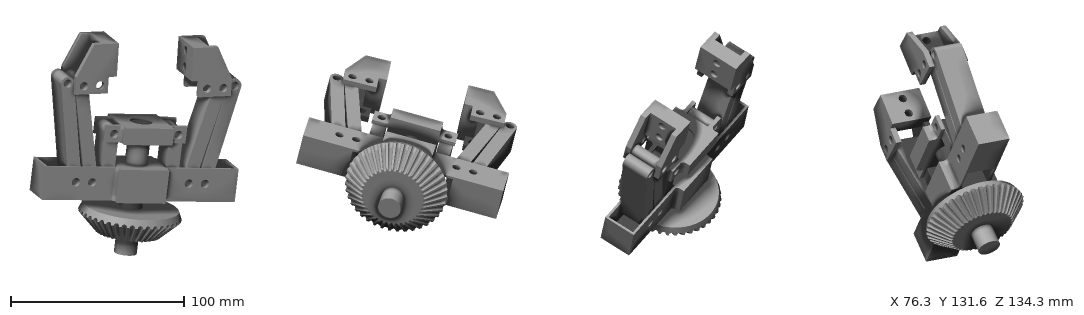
import cadquery as cq
import math


PIN_HOLE_DIAMETER = 5.0
SHAFT_DIAMETER = 13.3
CORNER_FILLET = 2.0

FRAME_LENGTH = 120.0
FRAME_WIDTH = 20.0
FRAME_HEIGHT = 20.0
FRAME_WALL = 1.5
FRAME_INSIDE = FRAME_WIDTH - 2 * FRAME_WALL
HUB_SIDE = 30.0
FLOOR_SLOT_END = 30.0

SLIDER_HEIGHT = 10.0
SLIDER_CENTER_Z = 30.0
SLIDER_TOP_Z = SLIDER_CENTER_Z + SLIDER_HEIGHT / 2
LUG_TIP_Y = 25.0
LUG_SPAN = 20.0
LUG_GAP = 15.0
LUG_PIN_Y = 20.0
SHAFT_RECESS = 1.1

LINK_THICKNESS = 8
LINK_LENGTH = 60.0
BUSH_DIAMETER = 6.7
FRAME_PIN_Z = 0.8
INNER_PIN_Y = 30.0
OUTER_PIN_Y = 40.1
INNER_LINK_LEAN = 12.8
OUTER_LINK_LEAN = 11.4

FINGER_WIDTH = 25.0
FINGER_GAP = 18.0
FINGER_TILT = 3.2
FINGER_TOP = 25.0
FINGER_BOTTOM = -5.0
FINGER_BACK = 5.0
FINGER_FRONT = -20.0
FINGER_TOP_BACK = -4.8
FINGER_SHOULDER = 5.5
NOTCH_FRONT = -15.0
NOTCH_TOP = 5.0
PAD_THICKNESS = 10.0
FREE_PIN_OFFSET = -10.0
PAD_HOLE_HEIGHTS = (10.0, 20.0)

SHAFT_BOTTOM_Z = -44.0
GEAR_TOP_Z = -16.2
GEAR_RIM_Z = -21.2
GEAR_BOTTOM_Z = -32.2
GEAR_TOP_RADIUS = 28.0
GEAR_RIM_RADIUS = 30.2
GEAR_BOTTOM_RADIUS = 19.0
TOOTH_COUNT = 40
GROOVE_RADIUS = 1.6
GROOVE_INNER_END = 0.8
GROOVE_OUTER_END = 1.2

TILT_X = -14.1
TILT_Y = -17.9
TILT_Z = -4.7
POSE_OFFSET = (3.2, -4.4, -23.9)


def box(size_x, y_range, z_range):
    """Box centred on X = 0 between two Y and two Z positions."""
    y_low, y_high = sorted(y_range)
    z_low, z_high = sorted(z_range)
    solid = cq.Workplane("XY").box(size_x, y_high - y_low, z_high - z_low)
    return solid.translate((0, (y_low + y_high) / 2, (z_low + z_high) / 2))


def cross_pin(y, z, diameter, length):
    """Cylinder along X, centred on X = 0."""
    circle = cq.Workplane("YZ").center(y, z).circle(diameter / 2)
    return circle.extrude(length / 2, both=True)


def cross_hole(y, z):
    """Cutter for a pin hole through the full width of the gripper."""
    return cross_pin(y, z, PIN_HOLE_DIAMETER, HUB_SIDE)


def upright_cylinder(diameter, z_low, z_high):
    return cq.Workplane("XY").workplane(offset=z_low).circle(diameter / 2).extrude(z_high - z_low)


def inside_corner(x_side, y_side, wall_x, face_y, z_low, z_high):
    """Concave fillet between an X-facing wall and the Y-facing end of a block."""
    r = CORNER_FILLET
    square = cq.Workplane("XY").workplane(offset=z_low).rect(r, r).extrude(z_high - z_low)
    square = square.translate((wall_x + r / 2, face_y + r / 2, 0))
    round_cut = upright_cylinder(2 * r, z_low, z_high).translate((wall_x + r, face_y + r, 0))
    fillet = square.cut(round_cut)
    if x_side < 0:
        fillet = fillet.mirror("YZ")
    if y_side < 0:
        fillet = fillet.mirror("XZ")
    return fillet


def make_corners(wall_x, z_low, z_high):
    """The four fillets where side walls meet the ends of a hub-sized block."""
    corners = cq.Workplane("XY")
    for x_side in (1, -1):
        for y_side in (1, -1):
            corners = corners.add(inside_corner(x_side, y_side, wall_x, HUB_SIDE / 2, z_low, z_high))
    return corners.combine()


def make_frame():
    half_length = FRAME_LENGTH / 2
    half_height = FRAME_HEIGHT / 2
    frame = cq.Workplane("XY").box(FRAME_WIDTH, FRAME_LENGTH, FRAME_HEIGHT)
    frame = frame.union(cq.Workplane("XY").box(HUB_SIDE, HUB_SIDE, FRAME_HEIGHT))
    frame = frame.union(make_corners(FRAME_WIDTH / 2, -half_height, half_height))
    for side in (1, -1):
        hub_end = side * HUB_SIDE / 2
        pocket_y = (hub_end, side * (half_length - FRAME_WALL))
        pocket = box(FRAME_INSIDE, pocket_y, (FRAME_WALL - half_height, half_height))
        floor_slot = box(FRAME_INSIDE, (hub_end, side * FLOOR_SLOT_END), (-half_height, 0))
        frame = frame.cut(pocket).cut(floor_slot)
    return frame


def make_slider():
    z_range = (SLIDER_TOP_Z - SLIDER_HEIGHT, SLIDER_TOP_Z)
    slider = box(LUG_SPAN, (-LUG_TIP_Y, LUG_TIP_Y), z_range)
    for side in (1, -1):
        slider = slider.cut(box(LUG_GAP, (side * HUB_SIDE / 2, side * LUG_TIP_Y), z_range))
    slider = slider.union(box(HUB_SIDE, (-HUB_SIDE / 2, HUB_SIDE / 2), z_range))
    return slider.union(make_corners(LUG_SPAN / 2, *z_range))


def make_link(start, end, width):
    """Flat bar with round ends between two cross pins given as (y, z)."""
    dy = end[0] - start[0]
    dz = end[1] - start[1]
    outline = cq.Workplane("YZ").slot2D(math.hypot(dy, dz) + LINK_THICKNESS, LINK_THICKNESS)
    bar = outline.extrude(width / 2, both=True)
    bar = bar.rotate((0, 0, 0), (1, 0, 0), math.degrees(math.atan2(dz, dy)))
    return bar.translate((0, (start[0] + end[0]) / 2, (start[1] + end[1]) / 2))


def link_top(side, pin_y, lean):
    """Upper pin of a link that leans away from the shaft."""
    angle = math.radians(lean)
    return (side * (pin_y + LINK_LENGTH * math.sin(angle)), FRAME_PIN_Z + LINK_LENGTH * math.cos(angle))


def make_finger(side, pin):
    """Two side plates joined by a gripping pad, hinged on the given (y, z) pin."""
    finger = (
        cq.Workplane("YZ")
        .polyline(
            [
                (FINGER_BACK, FINGER_BOTTOM),
                (FINGER_BACK, FINGER_SHOULDER),
                (FINGER_TOP_BACK, FINGER_TOP),
                (FINGER_FRONT, FINGER_TOP),
                (FINGER_FRONT, NOTCH_TOP),
                (NOTCH_FRONT, NOTCH_TOP),
                (NOTCH_FRONT, FINGER_BOTTOM),
            ]
        )
        .close()
        .extrude(FINGER_WIDTH / 2, both=True)
    )
    pad_back = FINGER_FRONT + PAD_THICKNESS
    behind_pad = box(FINGER_GAP, (pad_back, FINGER_BACK), (FINGER_BOTTOM, FINGER_TOP))
    below_pad = box(FINGER_GAP, (FINGER_FRONT, FINGER_BACK), (FINGER_BOTTOM, NOTCH_TOP))
    finger = finger.cut(behind_pad).cut(below_pad)
    for height in PAD_HOLE_HEIGHTS:
        pad_hole = cq.Workplane("XZ").center(0, height).circle(PIN_HOLE_DIAMETER / 2)
        finger = finger.cut(pad_hole.extrude(-FINGER_FRONT, both=True))
    finger = finger.cut(cross_hole(FREE_PIN_OFFSET, 0))
    if side < 0:
        finger = finger.mirror("XZ")
    return finger.rotate((0, 0, 0), (1, 0, 0), FINGER_TILT).translate((0, *pin))


def make_gear():
    gear = (
        cq.Workplane("XZ")
        .polyline(
            [
                (0, GEAR_TOP_Z),
                (GEAR_TOP_RADIUS, GEAR_TOP_Z),
                (GEAR_RIM_RADIUS, GEAR_RIM_Z),
                (GEAR_BOTTOM_RADIUS, GEAR_BOTTOM_Z),
                (0, GEAR_BOTTOM_Z),
            ]
        )
        .close()
        .revolve(360, (0, 0), (0, 1))
    )
    slope = (GEAR_RIM_Z - GEAR_BOTTOM_Z) / (GEAR_RIM_RADIUS - GEAR_BOTTOM_RADIUS)
    apex = cq.Vector(0, 0, GEAR_RIM_Z - slope * GEAR_RIM_RADIUS)
    direction = cq.Vector(1, 0, slope)
    inner_reach = GEAR_BOTTOM_RADIUS * GROOVE_INNER_END
    outer_reach = GEAR_RIM_RADIUS * GROOVE_OUTER_END
    inner_end = apex + direction * inner_reach
    length = (outer_reach - inner_reach) * direction.Length
    inner_radius = GROOVE_RADIUS * inner_reach / GEAR_RIM_RADIUS
    outer_radius = GROOVE_RADIUS * GROOVE_OUTER_END
    groove = cq.Solid.makeCone(inner_radius, outer_radius, length, inner_end, direction)
    grooves = cq.Workplane("XY")
    for tooth in range(TOOTH_COUNT):
        angle = tooth * 360 / TOOTH_COUNT
        grooves = grooves.add(groove.rotate(cq.Vector(0, 0, 0), cq.Vector(0, 0, 1), angle))
    return gear.cut(cq.Workplane(cq.Compound.makeCompound(grooves.vals())))


def make_gripper():
    shaft = upright_cylinder(SHAFT_DIAMETER, SHAFT_BOTTOM_Z, SLIDER_TOP_Z)
    gripper = make_gear().union(shaft).union(make_frame()).union(make_slider())
    gripper = gripper.cut(upright_cylinder(SHAFT_DIAMETER, SLIDER_TOP_Z - SHAFT_RECESS, SLIDER_TOP_Z))
    for side in (1, -1):
        inner_pin = (side * INNER_PIN_Y, FRAME_PIN_Z)
        outer_pin = (side * OUTER_PIN_Y, FRAME_PIN_Z)
        inner_top = link_top(side, INNER_PIN_Y, INNER_LINK_LEAN)
        outer_top = link_top(side, OUTER_PIN_Y, OUTER_LINK_LEAN)
        lug_pin = (side * LUG_PIN_Y, SLIDER_CENTER_Z)
        push_link_end = (side * LUG_PIN_Y, FRAME_PIN_Z)
        gripper = gripper.union(make_link(inner_pin, inner_top, FRAME_INSIDE))
        gripper = gripper.union(make_link(outer_pin, outer_top, FRAME_INSIDE))
        gripper = gripper.union(make_link(push_link_end, lug_pin, LUG_GAP))
        gripper = gripper.union(cross_pin(*inner_top, BUSH_DIAMETER, FINGER_GAP))
        gripper = gripper.union(make_finger(side, inner_top))
        for pin in (inner_pin, outer_pin, inner_top, outer_top, lug_pin):
            gripper = gripper.cut(cross_hole(*pin))
    return gripper


def pose(part):
    origin = (0, 0, 0)
    part = part.rotate(origin, (1, 0, 0), TILT_X)
    part = part.rotate(origin, (0, 1, 0), TILT_Y)
    part = part.rotate(origin, (0, 0, 1), TILT_Z)
    return part.translate(POSE_OFFSET)


result = pose(make_gripper()).solids()